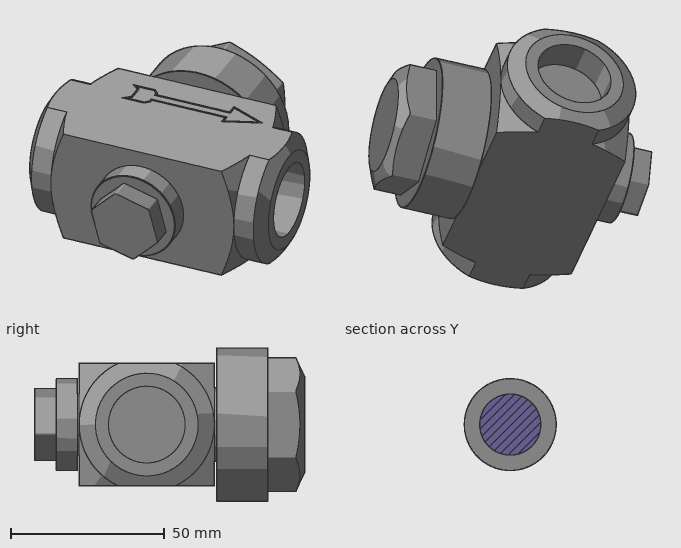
import cadquery as cq
import math

body_width = 44.0
body_height = 39.95
total_length = 85.0
stub_radius = body_width / 2
shoulder_half_length = 32.6
cone_angle = 60.0
stub_end_radius = 16.7
bore_diameter = 25.0
bore_depth = 10.0

gap = 0.6
cap_neck_diameter = 24.0
cap_collar_diameter = 50.0
cap_collar_end = 39.5
cap_end = 51.5
cap_hex_across_flats = 38.0
cap_hex_end_radius = 15.5
cap_hex_cone_angle = 25.0
cap_hex_turn = 90.0

total_width = 88.0
plug_neck_diameter = 20.0
plug_collar_diameter = 30.0
plug_collar_end = 29.6
plug_end = total_width - cap_end
plug_hex_across_flats = 21.3
plug_hex_turn = 15.0

hex_edge_radius = 1.0
cap_collar_chamfer = 0.2
plug_collar_chamfer = 0.3

arrow_y = 10.5
arrow_tail_x = -19.6
arrow_notch_x = -17.25
arrow_tail_shoulder_x = -11.7
arrow_shaft_start_x = -10.1
arrow_head_base_x = 15.8
arrow_tip_x = 28.3
arrow_tail_half = 4.4
arrow_notch_half = 2.5
arrow_shoulder_half = 2.7
arrow_shaft_half = 1.85
arrow_head_upper = 5.4
arrow_head_lower = 4.6
arrow_line_width = 0.5
arrow_depth = 0.1


def cylinder_along_y(diameter, y_start, y_end):
    """Cylinder on the Y axis between two Y positions."""
    plane = cq.Workplane("XZ", origin=(0, y_start, 0))
    return plane.circle(diameter / 2).extrude(y_start - y_end)


def hexagon_along_y(across_flats, y_start, y_end, turn):
    """Hexagonal prism on the Y axis with rounded long edges, its vertex turned from +X about Y."""
    corner_diameter = across_flats / math.cos(math.pi / 6)
    plane = cq.Workplane("XZ", origin=(0, y_start, 0)).transformed(rotate=(0, 0, turn))
    prism = plane.polygon(6, corner_diameter).extrude(y_start - y_end)
    return prism.edges("|Y").fillet(hex_edge_radius)


def make_body():
    """Block trimmed to a revolved profile: two cones, straight stubs and bevelled ends."""
    half_length = total_length / 2
    slope = math.tan(math.radians(cone_angle))
    stub_end_x = half_length - (stub_radius - stub_end_radius) / slope
    peak_radius = stub_radius + shoulder_half_length * slope
    right_half = [
        (shoulder_half_length, stub_radius),
        (stub_end_x, stub_radius),
        (half_length, stub_end_radius),
        (half_length, 0),
    ]
    left_half = [(-x, r) for x, r in reversed(right_half)]
    profile = cq.Workplane("XY").polyline(left_half + [(0, peak_radius)] + right_half).close()
    envelope = profile.revolve(360, (0, 0, 0), (1, 0, 0))
    block = cq.Workplane("XY").box(total_length, body_width, body_height)
    body = block.intersect(envelope)
    for side in (-1, 1):
        face = cq.Workplane("YZ", origin=(side * half_length, 0, 0))
        body = body.cut(face.circle(bore_diameter / 2).extrude(-side * bore_depth))
    return body


def make_cap():
    """Neck, collar and hexagon with a conical end, on the +Y side."""
    collar_start = body_width / 2 + gap
    neck = cylinder_along_y(cap_neck_diameter, 0, collar_start)
    collar = cylinder_along_y(cap_collar_diameter, collar_start, cap_collar_end)
    collar = collar.faces("<Y or >Y").chamfer(cap_collar_chamfer)
    hexagon = hexagon_along_y(cap_hex_across_flats, cap_collar_end, cap_end, cap_hex_turn)
    cone_slope = math.tan(math.radians(cap_hex_cone_angle))
    cone_base_radius = cap_hex_end_radius + (cap_end - cap_collar_end) / cone_slope
    cone = (
        cq.Workplane("XY")
        .polyline([
            (0, cap_collar_end),
            (cone_base_radius, cap_collar_end),
            (cap_hex_end_radius, cap_end),
            (0, cap_end),
        ])
        .close()
        .revolve(360, (0, 0, 0), (0, 1, 0))
    )
    return neck.union(collar).union(hexagon.intersect(cone))


def make_plug():
    """Neck, collar and plain hexagon, on the -Y side."""
    collar_start = -(body_width / 2 + gap)
    neck = cylinder_along_y(plug_neck_diameter, 0, collar_start)
    collar = cylinder_along_y(plug_collar_diameter, collar_start, -plug_collar_end)
    collar = collar.faces("<Y").chamfer(plug_collar_chamfer)
    hexagon = hexagon_along_y(plug_hex_across_flats, -plug_collar_end, -plug_end, -plug_hex_turn)
    return neck.union(collar).union(hexagon)


def make_arrow_groove():
    """Band that follows the inside of the arrow outline, just below the top face."""
    upper_side = [
        (arrow_notch_x, arrow_notch_half),
        (arrow_tail_x, arrow_tail_half),
        (arrow_tail_shoulder_x, arrow_tail_half),
        (arrow_shaft_start_x, arrow_shoulder_half),
        (arrow_shaft_start_x, arrow_shaft_half),
        (arrow_head_base_x, arrow_shaft_half),
    ]
    lower_side = [(x, -y) for x, y in reversed(upper_side)]
    head = [
        (arrow_head_base_x, arrow_head_upper),
        (arrow_tip_x, 0),
        (arrow_head_base_x, -arrow_head_lower),
    ]
    outline = upper_side + head + lower_side
    plane = cq.Workplane("XY", origin=(0, arrow_y, body_height / 2))
    outer = plane.polyline(outline).close().extrude(-arrow_depth)
    inner = (
        plane.polyline(outline)
        .close()
        .offset2D(-arrow_line_width, "intersection")
        .extrude(-arrow_depth)
    )
    return outer.cut(inner)


result = make_body().union(make_cap()).union(make_plug()).cut(make_arrow_groove())